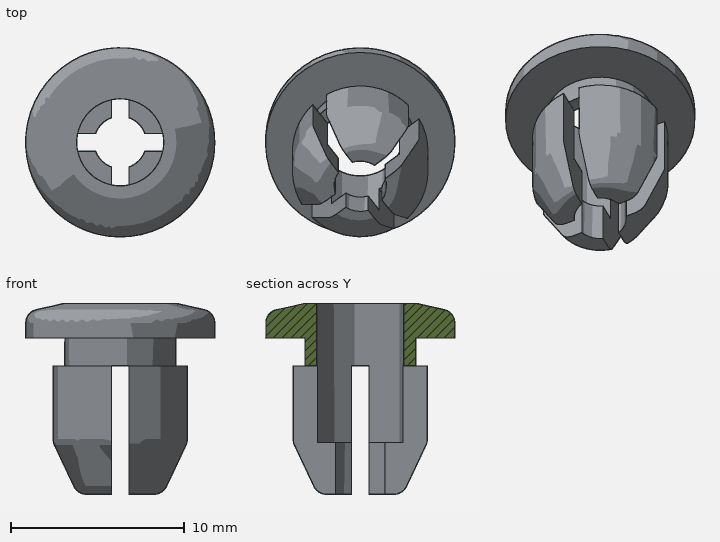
import cadquery as cq

total_height = 11.0
head_bottom = 9.0
cone_rise = 0.5
head_rim_top = total_height - cone_rise
shank_top = 7.4
tip_cone_height = 3.0

head_radius = 5.45
head_top_radius = 3.25
neck_radius = 3.2
shank_radius = 3.9
tip_radius = 2.5

edge_radius = 0.8

bore_radius = 2.5
bore_floor = tip_cone_height
tip_hole_radius = 1.5

slot_width = 1.0


def make_cylinder(radius, bottom, top):
    return cq.Workplane("XY").workplane(offset=bottom).circle(radius).extrude(top - bottom)


def make_head():
    """Flanged head with a shallow conical top and a rounded rim."""
    head = (
        cq.Workplane("XZ")
        .moveTo(0, head_bottom)
        .lineTo(head_radius, head_bottom)
        .lineTo(head_radius, head_rim_top)
        .lineTo(head_top_radius, total_height)
        .lineTo(0, total_height)
        .close()
        .revolve(360, (0, 0, 0), (0, 1, 0))
    )
    rim_edge = cq.selectors.RadiusNthSelector(-1)
    return head.faces("%CONE").edges(rim_edge).fillet(edge_radius)


def make_shank():
    """Cylindrical shank tapering to the tip, with both ends of the taper rounded."""
    shank = (
        cq.Workplane("XZ")
        .lineTo(tip_radius, 0)
        .lineTo(shank_radius, tip_cone_height)
        .lineTo(shank_radius, shank_top)
        .lineTo(0, shank_top)
        .close()
        .revolve(360, (0, 0, 0), (0, 1, 0))
    )
    return shank.faces("%CONE").edges("%CIRCLE").fillet(edge_radius)


def make_bore():
    """Wide bore down to its floor, then a narrower hole through the tip."""
    wide_bore = make_cylinder(bore_radius, bore_floor, total_height)
    tip_hole = make_cylinder(tip_hole_radius, 0, total_height)
    return wide_bore.union(tip_hole)


def make_slot(angle):
    """Slot across the full shank, open at the tip and ending at the neck."""
    slot_length = 2 * head_radius
    slot = cq.Workplane("XY").rect(slot_length, slot_width).extrude(shank_top)
    return slot.rotate((0, 0, 0), (0, 0, 1), angle)


neck = make_cylinder(neck_radius, shank_top, head_bottom)
result = make_head().union(neck).union(make_shank()).cut(make_bore())
for slot_angle in (0, 90):
    result = result.cut(make_slot(slot_angle))